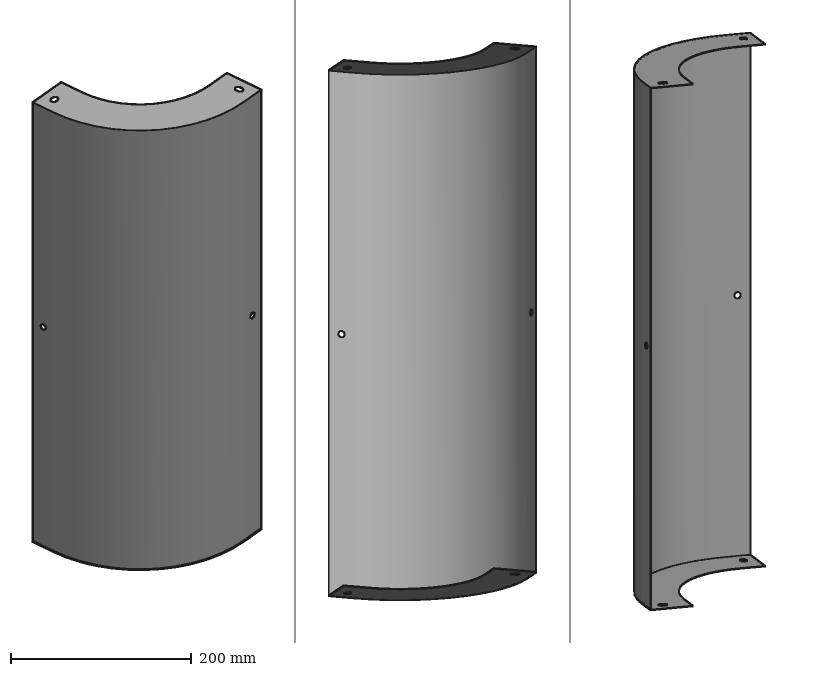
import cadquery as cq

height = 600.0
side = 180.0
straight = 30.0
outer_radius = side - straight
flange_width = 50.0
thickness = 1.0

hole_diameter = 7.0
hole_end_offset = 15.0
flange_hole_inset = 20.0
flange_slot_length = 10.0


def quarter_bend(inset, bottom, top):
    """Solid between the inner side and the outer face offset inwards by inset."""
    near = inset
    far = side - inset
    radius = outer_radius - inset
    return (
        cq.Workplane("XY", origin=(0, 0, bottom))
        .moveTo(0, near)
        .lineTo(straight, near)
        .radiusArc((far, side - straight), -radius)
        .lineTo(far, side)
        .lineTo(0, side)
        .close()
        .extrude(top - bottom)
    )


outer = quarter_bend(0, 0, height)
cavity = quarter_bend(thickness, thickness, height - thickness)
opening = quarter_bend(flange_width, 0, height)
body = outer.cut(cavity).cut(opening)

slots = [
    (hole_end_offset, flange_hole_inset, 90),
    (side - flange_hole_inset, side - hole_end_offset, 0),
]
for x, y, angle in slots:
    cutter = (
        cq.Workplane("XY")
        .center(x, y)
        .slot2D(flange_slot_length, hole_diameter, angle)
        .extrude(height)
    )
    body = body.cut(cutter)

wall_hole_depth = 2 * thickness
hole_radius = hole_diameter / 2
wall_holes = [
    (cq.Vector(hole_end_offset, 0, height / 2), cq.Vector(0, 1, 0)),
    (cq.Vector(side, side - hole_end_offset, height / 2), cq.Vector(-1, 0, 0)),
]
for position, direction in wall_holes:
    body = body.cut(cq.Workplane(cq.Solid.makeCylinder(hole_radius, wall_hole_depth, position, direction)))

result = body